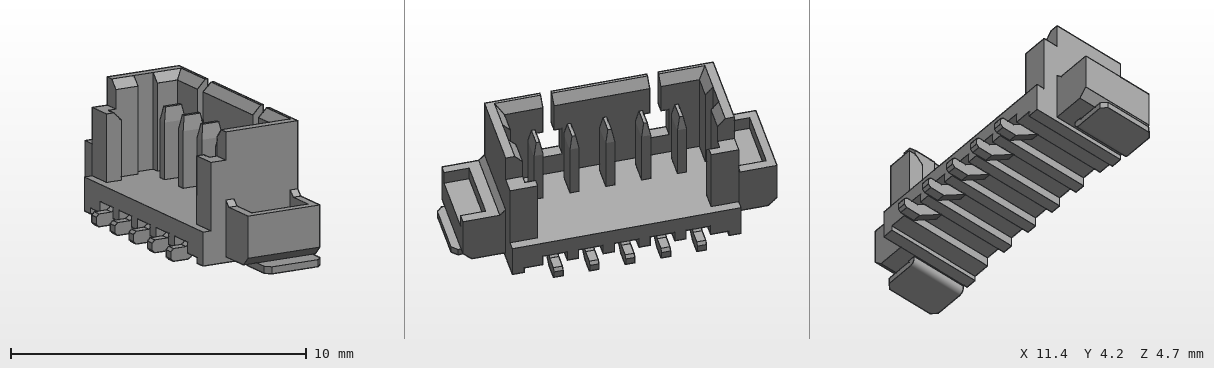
import cadquery as cq


pin_count = 5
pin_pitch = 1.25
pin_width = 0.32
pin_depth = 0.82
pin_back = 0.71
pin_shoulder_z = 3.3
pin_top_z = 3.82
tip_width = 0.13
tip_depth = 0.63
lead_reach = 4.2
lead_height = 0.46
lead_end_chamfer = 0.1
lead_top_bend = 3.6
lead_bottom_bend = 3.51
lead_slope = 0.7

housing_width = 8.0
housing_top = 4.7
floor_depth = 3.7
floor_top = 1.3
floor_bottom = 0.31
foot_bottom = 0.1
foot_width = 0.42
lead_slot_width = 0.85
lead_slot_top = 0.7

wall_depth = 2.82
back_wall = 0.41
side_wall = 0.59
lead_in = 0.31
lead_in_side_run = 0.27
groove_back = 1.2
groove_front = 1.95
hook_depth = 3.4
hook_width = 0.97
hook_top = 3.7
hook_chamfer = 0.3
wall_slot_offset = 1.87
wall_slot_width = 0.39
window_width = 0.96
window_bottom = 2.1
window_top = 3.26

wing_end = 5.5
wing_bottom_chamfer = 0.31
wing_root_chamfer = 0.2
pocket_back = 0.3
pocket_front = 2.5
pocket_depth = 0.49
left_pocket_inner = 4.62
right_pocket_outer = 5.2

tab_end = 5.7
tab_inner = 4.2
tab_depth = 2.19
tab_thickness = 0.25
tab_leg_thickness = 0.28
tab_bend_radius = 0.22
tab_corner = 0.19

half_width = housing_width / 2
wing_top = window_bottom
embed = 0.11


def block(x0, x1, back, front, z0, z1):
    """Box between two X values, two distances from the back face and two heights."""
    return cq.Workplane("XY").box(x1 - x0, front - back, z1 - z0, centered=False).translate((x0, -front, z0))


def both_sides(solid):
    """The solid together with its mirror image across X = 0."""
    return solid.union(solid.mirror("YZ"))


def extrude_front_outline(points, depth):
    """Outline of (x, z) points carried from the back face toward the front."""
    return cq.Workplane("XZ").polyline(points).close().extrude(depth)


def make_floor():
    floor = block(-half_width, half_width, 0, floor_depth, floor_bottom, floor_top)
    foot = block(half_width - foot_width, half_width, 0, floor_depth, foot_bottom, floor_bottom)
    return floor.union(both_sides(foot))


def make_walls():
    walls = block(-half_width, half_width, 0, wall_depth, floor_top, housing_top)
    inner_x = half_width - side_wall
    walls = walls.cut(block(-inner_x, inner_x, back_wall, wall_depth, floor_top, housing_top))

    mouth_x = inner_x + lead_in_side_run
    slope_bottom = housing_top - lead_in
    back_slope = (
        cq.Workplane("YZ")
        .polyline([(-back_wall, slope_bottom), (-back_wall, housing_top), (lead_in - back_wall, housing_top)])
        .close()
        .extrude(mouth_x, both=True)
    )
    side_slope = extrude_front_outline(
        [(inner_x, slope_bottom), (mouth_x, housing_top), (-mouth_x, housing_top), (-inner_x, slope_bottom)],
        wall_depth,
    )
    mouth_front = back_slope.union(
        block(-mouth_x, mouth_x, back_wall, wall_depth, slope_bottom, housing_top)
    )
    walls = walls.cut(side_slope.intersect(mouth_front))

    groove = block(inner_x, mouth_x, groove_back, groove_front, floor_top, housing_top)
    return walls.cut(both_sides(groove))


def make_hooks():
    inner_x = half_width - hook_width
    hook = block(inner_x, half_width, wall_depth, hook_depth, floor_top, hook_top)
    chamfer = (
        cq.Workplane("YZ", origin=(inner_x, 0, 0))
        .polyline([
            (-wall_depth, hook_top),
            (-wall_depth - hook_chamfer, hook_top),
            (-wall_depth, hook_top - hook_chamfer),
        ])
        .close()
        .extrude(hook_width - side_wall)
    )
    return both_sides(hook.cut(chamfer))


def make_wings():
    wing = extrude_front_outline(
        [
            (half_width, floor_bottom),
            (wing_end - wing_bottom_chamfer, floor_bottom),
            (wing_end, floor_bottom + wing_bottom_chamfer),
            (wing_end, wing_top),
            (half_width + wing_root_chamfer, wing_top),
            (half_width, wing_top + wing_root_chamfer),
        ],
        wall_depth,
    )
    wings = both_sides(wing)
    pocket_floor = wing_top - pocket_depth
    pocket_ceiling = wing_top + wing_root_chamfer
    for x0, x1 in [(-wing_end, -left_pocket_inner), (half_width, right_pocket_outer)]:
        wings = wings.cut(block(x0, x1, pocket_back, pocket_front, pocket_floor, pocket_ceiling))
    return wings


def make_tabs():
    plate = block(tab_inner, tab_end, 0, tab_depth, 0, tab_thickness)
    plate = plate.edges("|Z and >X").chamfer(tab_corner)
    leg = block(tab_inner, tab_inner + tab_leg_thickness, 0, tab_depth, 0, floor_bottom + embed)
    tab = plate.union(leg)
    tab = tab.edges("|Y and <X and <Z").fillet(tab_bend_radius)
    return both_sides(tab)


def make_contact(x):
    pin_y = -pin_back - pin_depth / 2
    pin = block(
        x - pin_width / 2,
        x + pin_width / 2,
        pin_back,
        pin_back + pin_depth,
        floor_top - embed,
        pin_shoulder_z,
    )
    tip = (
        cq.Workplane("XY", origin=(x, pin_y, pin_shoulder_z))
        .rect(pin_width, pin_depth)
        .workplane(offset=pin_top_z - pin_shoulder_z)
        .rect(tip_width, tip_depth)
        .loft()
    )
    anchor_top = lead_slot_top + embed
    anchor_front = lead_top_bend - (anchor_top - lead_height) / lead_slope
    anchor_back = lead_bottom_bend - anchor_top / lead_slope
    lead_profile = [
        (-lead_bottom_bend, 0),
        (-lead_reach + lead_end_chamfer, 0),
        (-lead_reach, lead_end_chamfer),
        (-lead_reach, lead_height - lead_end_chamfer),
        (-lead_reach + lead_end_chamfer, lead_height),
        (-lead_top_bend, lead_height),
        (-anchor_front, anchor_top),
        (-anchor_back, anchor_top),
    ]
    lead = (
        cq.Workplane("YZ", origin=(x - pin_width / 2, 0, 0))
        .polyline(lead_profile)
        .close()
        .extrude(pin_width)
    )
    return pin.union(tip).union(lead)


housing = make_floor().union(make_walls()).union(make_hooks()).union(make_wings())

wall_slot = block(
    wall_slot_offset - wall_slot_width / 2,
    wall_slot_offset + wall_slot_width / 2,
    0,
    back_wall,
    window_top,
    housing_top,
)
window = block(
    wall_slot_offset - window_width / 2,
    wall_slot_offset + window_width / 2,
    0,
    back_wall,
    window_bottom,
    window_top,
)
housing = housing.cut(both_sides(wall_slot)).cut(both_sides(window))

result = housing.union(make_tabs())
for index in range(pin_count):
    contact_x = (index - (pin_count - 1) / 2) * pin_pitch
    lead_slot = block(
        contact_x - lead_slot_width / 2,
        contact_x + lead_slot_width / 2,
        0,
        floor_depth,
        floor_bottom,
        lead_slot_top,
    )
    result = result.cut(lead_slot).union(make_contact(contact_x))